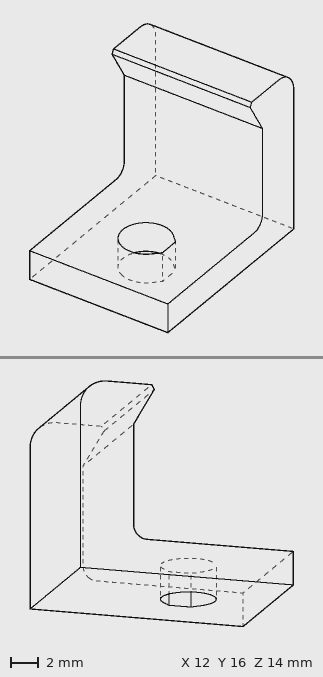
import cadquery as cq
import math

width = 12.0
depth = 16.0
height = 14.0

base_thickness = 2.5
wall_thickness = 4.0
inner_radius = 1.0
outer_radius = 2.0

lip_reach = 5.55
lip_underside_angle = 60.0
tip_height = 0.35
tip_setback = 0.2

hole_radius = 2.0
hole_front_distance = 6.0
hole_tangent_angle = 45.0

wall_face = depth - wall_thickness
lip_edge = depth - lip_reach
tip_bottom = height - tip_height
lip_drop = (wall_face - lip_edge) * math.tan(math.radians(lip_underside_angle))


def make_bracket():
    """Extrude the L section with its hooked lip across the width."""
    section = (
        cq.Workplane("YZ")
        .moveTo(0, 0)
        .lineTo(depth, 0)
        .lineTo(depth, height - outer_radius)
        .radiusArc((depth - outer_radius, height), -outer_radius)
        .lineTo(lip_edge + tip_setback, height)
        .lineTo(lip_edge, tip_bottom)
        .lineTo(wall_face, tip_bottom - lip_drop)
        .lineTo(wall_face, base_thickness + inner_radius)
        .radiusArc((wall_face - inner_radius, base_thickness), inner_radius)
        .lineTo(0, base_thickness)
        .close()
    )
    return section.extrude(width)


def make_hole_cutter():
    """Circle with two tangent lines on the +X side, closed by a flat."""
    angle = math.radians(hole_tangent_angle)
    tangent_x = hole_radius * math.cos(angle)
    tangent_y = hole_radius * math.sin(angle)
    flat_half_length = hole_radius * (1 - math.cos(angle)) / math.sin(angle)
    return (
        cq.Workplane("XY")
        .center(width / 2, hole_front_distance)
        .moveTo(tangent_x, tangent_y)
        .threePointArc((-hole_radius, 0), (tangent_x, -tangent_y))
        .lineTo(hole_radius, -flat_half_length)
        .lineTo(hole_radius, flat_half_length)
        .close()
        .extrude(base_thickness)
    )


result = make_bracket().cut(make_hole_cutter())